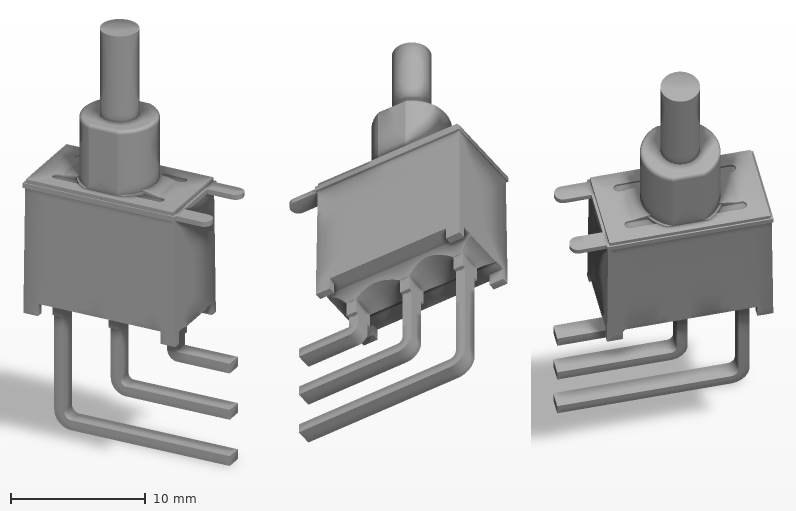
import cadquery as cq
import math

total_height = 33.9
collar_top = 26.8
cover_top = 21.43
plate_top = 21.13
plate_bottom = 20.72
recess_floor = 11.33
feet_bottom = 10.3
seal_bottom = 10.6
tab_bottom = 9.4

housing_length = 12.68
housing_width = 6.65
housing_top_length = 12.48
housing_top_width = 6.45
recess_width = 5.43

plate_width = 6.85
cover_length = 12.28
cover_width = 6.65
frame_pin_width = 1.32
frame_pin_rounding = 0.65
frame_pin_reach = 2.68
frame_pin_offset = 2.55

slot_length = 9.33
slot_width = 0.7
slot_depth = 0.17
strip_length = 8.0
strip_width = 3.0
strip_rise = 0.45

button_diameter = 2.95
collar_diameter = 6.0
collar_flats = 5.5
collar_rounding = 0.27
flange_diameter = 6.38
flange_height = 0.1

terminal_thickness = 0.8
terminal_width = 1.32
tab_width = 1.95
terminal_pitch = 4.7
leg_spacing = 3.83
leg_end = 9.53
bend_inner_radii = (0.6, 0.47, 0.05)

seal_top_width = 3.75
seal_bottom_width = 2.05
seal_flank_sag = 0.1
seal_arch_heights = (0.55, 0.4)
seal_end_height = 0.6

recess_length = 2 * terminal_pitch + terminal_thickness
terminal_positions = (-terminal_pitch, 0, terminal_pitch)


def block(length, width, bottom, top):
    """Box centred on the button axis between two heights."""
    plane = cq.Workplane("XY").workplane(offset=bottom)
    return plane.rect(length, width).extrude(top - bottom)


def flatted_disc(diameter, bottom, top):
    """Cylinder with two parallel flats facing -Y and +Y."""
    disc = cq.Workplane("XY").workplane(offset=bottom).circle(diameter / 2).extrude(top - bottom)
    return disc.intersect(block(diameter, collar_flats, bottom, top))


def make_housing():
    """Drafted case whose underside is cut back to leave four corner feet."""
    housing = (
        cq.Workplane("XY").workplane(offset=feet_bottom)
        .rect(housing_length, housing_width)
        .workplane(offset=plate_bottom - feet_bottom)
        .rect(housing_top_length, housing_top_width)
        .loft(ruled=True)
    )
    housing = housing.cut(block(recess_length, plate_width, feet_bottom, recess_floor))
    return housing.cut(block(housing_length, recess_width, feet_bottom, recess_floor))


def make_frame():
    """Frame plate with two round-ended pins on the +X side."""
    frame = block(housing_length, plate_width, plate_bottom, plate_top)
    pin_end = housing_length / 2 + frame_pin_reach
    for side in (-1, 1):
        pin = (
            cq.Workplane("XY").workplane(offset=plate_bottom)
            .center(pin_end / 2, side * frame_pin_offset)
            .rect(pin_end, frame_pin_width)
            .extrude(plate_top - plate_bottom)
            .edges("|Z and >X").fillet(frame_pin_rounding)
        )
        frame = frame.union(pin)
    return frame


def make_cover():
    """Raised cover with two slots and the arched strip between them."""
    slot_offset = (strip_width + slot_width) / 2
    cover = block(cover_length, cover_width, plate_top, cover_top)
    cover = (
        cover.faces(">Z").workplane(origin=(0, 0, cover_top))
        .pushPoints([(0, -slot_offset), (0, slot_offset)])
        .slot2D(slot_length, slot_width)
        .cutBlind(-slot_depth)
    )
    strip = (
        cq.Workplane("XZ").moveTo(-strip_length / 2, cover_top)
        .threePointArc((0, cover_top + strip_rise), (strip_length / 2, cover_top))
        .close()
        .extrude(strip_width / 2, both=True)
    )
    return cover.union(strip)


def make_bushing():
    """Flatted collar on a thin flange, with the push button through it."""
    collar = flatted_disc(collar_diameter, plate_top, collar_top)
    collar = collar.faces(">Z").edges().fillet(collar_rounding)
    flange = flatted_disc(flange_diameter, plate_top, cover_top + flange_height)
    button = (
        cq.Workplane("XY").workplane(offset=cover_top)
        .circle(button_diameter / 2).extrude(total_height - cover_top)
    )
    return collar.union(flange).union(button)


def seal_arch(middle, span, height):
    """Arched cutter that hollows the seal from below along X."""
    return (
        cq.Workplane("XZ").moveTo(middle - span / 2, seal_bottom)
        .threePointArc((middle, seal_bottom + height), (middle + span / 2, seal_bottom))
        .close()
        .extrude(seal_top_width / 2, both=True)
    )


def make_seal():
    """Tapered ridge under the housing, arched between and outside the terminals, with hollow flanks."""
    flank_y = (seal_top_width + seal_bottom_width) / 4
    flank_z = (recess_floor + seal_bottom) / 2 + seal_flank_sag
    seal = (
        cq.Workplane("YZ").workplane(offset=-housing_length / 2)
        .moveTo(-seal_top_width / 2, recess_floor)
        .lineTo(seal_top_width / 2, recess_floor)
        .threePointArc((flank_y, flank_z), (seal_bottom_width / 2, seal_bottom))
        .lineTo(-seal_bottom_width / 2, seal_bottom)
        .threePointArc((-flank_y, flank_z), (-seal_top_width / 2, recess_floor))
        .close()
        .extrude(housing_length)
    )
    arch_span = terminal_pitch - terminal_thickness
    end_span = housing_length - recess_length
    for side, arch_height in zip((-1, 1), seal_arch_heights):
        seal = seal.cut(seal_arch(side * terminal_pitch / 2, arch_span, arch_height))
        seal = seal.cut(seal_arch(side * housing_length / 2, end_span, seal_end_height))
    return seal


def make_terminal(position, leg_bottom, inner_radius):
    """L-shaped terminal with a wider tab where it leaves the housing."""
    left = position - terminal_thickness / 2
    right = left + terminal_thickness
    leg_top = leg_bottom + terminal_thickness
    outer_radius = inner_radius + terminal_thickness
    bend_x = right + inner_radius
    bend_z = leg_top + inner_radius
    diagonal = math.sqrt(0.5)
    leg = (
        cq.Workplane("XZ").moveTo(left, recess_floor)
        .lineTo(left, bend_z)
        .threePointArc(
            (bend_x - diagonal * outer_radius, bend_z - diagonal * outer_radius),
            (bend_x, leg_bottom),
        )
        .lineTo(leg_end, leg_bottom)
        .lineTo(leg_end, leg_top)
        .lineTo(bend_x, leg_top)
        .threePointArc(
            (bend_x - diagonal * inner_radius, bend_z - diagonal * inner_radius),
            (right, bend_z),
        )
        .lineTo(right, recess_floor)
        .close()
        .extrude(terminal_width / 2, both=True)
    )
    tab = block(terminal_thickness, tab_width, tab_bottom, recess_floor)
    return leg.union(tab.translate((position, 0, 0)))


result = make_housing().union(make_frame()).union(make_cover()).union(make_bushing())
result = result.union(make_seal())
for index, position in enumerate(terminal_positions):
    terminal = make_terminal(position, index * leg_spacing, bend_inner_radii[index])
    result = result.union(terminal)